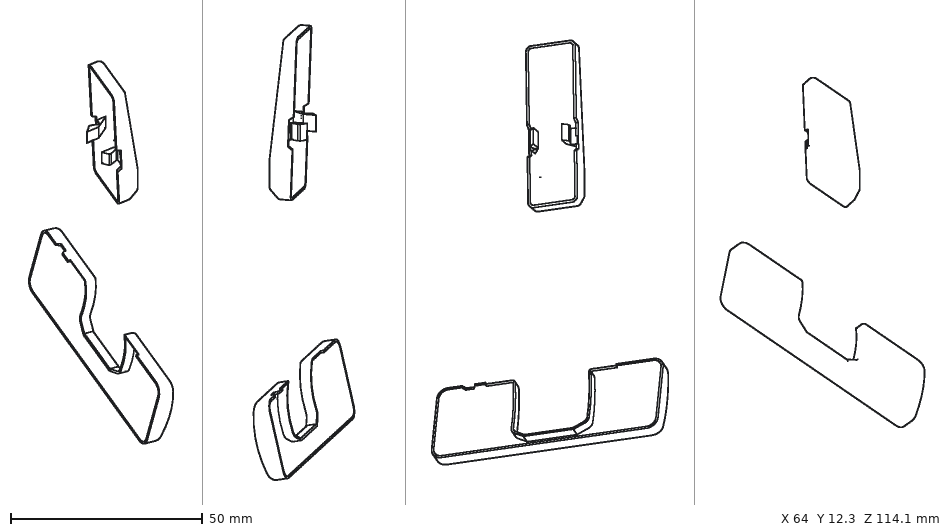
import cadquery as cq
import math

PLATE_WIDTH = 64.0
PLATE_HEIGHT = 21.75
PLATE_WALL = 0.6
PLATE_CORNER_RADIUS = 3.0
PLATE_BACK_FILLET = 1.5
PLATE_INNER_FILLET = 1.0
PLATE_TILT = 13.0
RIM_FOOT_Z = 0.74
BACK_DEPTH = 6.0
BACK_RADIUS = 33.0
BACK_CROWN_Z = 10.7

OPENING_HALF_WIDTH = 10.4
OPENING_FLOOR_HALF_WIDTH = 6.9
OPENING_FLOOR_Z = 5.1
OPENING_BEVEL_ANGLE = 30.0
OPENING_CORNER_RADIUS = 1.5
OPENING_BACK_FILLET = 0.8
OPENING_LIP_HEIGHT = 3.2
LIP_REACH_X = 18.5

SLOT_CENTRE_X = -23.3
SLOT_RIM_WIDTH = 3.6
SLOT_FLOOR_WIDTH = 2.4
SLOT_DEPTH = 1.3

LEVER_WIDTH = 14.0
LEVER_WALL = 0.7
LEVER_CHAMFER = 1.0
LEVER_FILLET = 1.2
LEVER_TOP_Z = 114.06
LEVER_BOTTOM_Z = 69.4
RIM_TOP_Y = 4.55
RIM_BOTTOM_Y = 6.2
LEVER_TOP_BACK_Y = 8.38
LEVER_BACK_Y = 12.34
LEVER_KNEE_Z = 79.9
LEVER_HEEL_Z = 72.2
LEVER_HEEL_Y = 9.75

NOTCH_CENTRE_Z = 88.0
NOTCH_MOUTH_HEIGHT = 9.0
NOTCH_FLOOR_HEIGHT = 7.2
NOTCH_DEPTH = 1.25

HOOK_HEIGHT = 4.5
HOOK_TIP_X = 4.0
HOOK_TIP_Y = 2.5
HOOK_BARB_X = 5.5
HOOK_LEAD_Y = 3.9
HOOK_BARB_Y = 4.6
HOOK_NECK_X = 4.9
HOOK_NECK_Y = 6.4
HOOK_ARM_Y = 6.0
HOOK_ROOT_Y = 10.0


def back_cylinder(inset, half_width):
    """Cylinder concentric with the plate's curved back and smaller in radius by inset."""
    return (
        cq.Workplane("YZ")
        .center(BACK_DEPTH - BACK_RADIUS, BACK_CROWN_Z)
        .circle(BACK_RADIUS - inset)
        .extrude(half_width, both=True)
    )


def rounded_back_block(inset, back_fillet):
    """Plate block with rounded corners and an arched back, every face moved in by inset."""
    half_width = PLATE_WIDTH / 2 - inset
    height = PLATE_HEIGHT - 2 * inset
    block = (
        cq.Workplane("XZ")
        .center(0, PLATE_HEIGHT / 2)
        .rect(2 * half_width, height)
        .extrude(-2 * BACK_DEPTH)
        .edges("|Y")
        .fillet(PLATE_CORNER_RADIUS - inset)
    )
    block = block.intersect(back_cylinder(inset, half_width))
    return block.faces(">Y").edges().fillet(back_fillet)


def opening_block(growth):
    """Prism filling the U-shaped opening, its sides and floor moved out by growth."""
    slope = math.radians(OPENING_BEVEL_ANGLE)
    side_x = OPENING_HALF_WIDTH + growth
    floor_x = OPENING_FLOOR_HALF_WIDTH + growth * math.tan(slope / 2)
    floor_z = OPENING_FLOOR_Z - growth
    bevel_z = floor_z + (side_x - floor_x) * math.tan(slope)
    top_z = PLATE_HEIGHT + PLATE_WALL
    block = (
        cq.Workplane("XZ")
        .polyline([
            (-side_x, top_z),
            (-side_x, bevel_z),
            (-floor_x, floor_z),
            (floor_x, floor_z),
            (side_x, bevel_z),
            (side_x, top_z),
        ])
        .close()
        .extrude(-2 * BACK_DEPTH)
    )
    lower_corners = cq.selectors.BoxSelector(
        (-2 * side_x, -BACK_DEPTH, bevel_z - PLATE_WALL / 2),
        (2 * side_x, 3 * BACK_DEPTH, bevel_z + PLATE_WALL / 2),
    )
    return block.edges("|Y").edges(lower_corners).fillet(OPENING_CORNER_RADIUS + growth)


def lip_trim():
    """Space in front of the opening's lip, from just below the opening up past the top wall."""
    bottom_z = OPENING_FLOOR_Z - 2 * PLATE_WALL
    region = cq.Workplane("XY", origin=(0, 0, bottom_z)).box(
        2 * LIP_REACH_X, 2 * BACK_DEPTH, PLATE_HEIGHT, centered=(True, True, False)
    )
    return region.intersect(back_cylinder(OPENING_LIP_HEIGHT, LIP_REACH_X))


def rim_slot():
    """Tapered slot through the top wall, open at the rim."""
    return (
        cq.Workplane("XY", origin=(SLOT_CENTRE_X, 0, PLATE_HEIGHT - PLATE_WALL))
        .polyline([
            (-SLOT_RIM_WIDTH / 2, 0),
            (SLOT_RIM_WIDTH / 2, 0),
            (SLOT_FLOOR_WIDTH / 2, SLOT_DEPTH),
            (-SLOT_FLOOR_WIDTH / 2, SLOT_DEPTH),
        ])
        .close()
        .extrude(PLATE_WALL)
    )


def make_cover_plate():
    outside = rounded_back_block(0, PLATE_BACK_FILLET).cut(opening_block(0))
    opening_back_edges = cq.selectors.BoxSelector(
        (-OPENING_HALF_WIDTH - PLATE_WALL, BACK_DEPTH / 2, 0),
        (OPENING_HALF_WIDTH + PLATE_WALL, 2 * BACK_DEPTH, PLATE_HEIGHT - 2 * PLATE_BACK_FILLET),
    )
    outside = outside.edges(opening_back_edges).edges("not |Y").fillet(OPENING_BACK_FILLET)
    inside = rounded_back_block(PLATE_WALL, PLATE_INNER_FILLET).cut(opening_block(PLATE_WALL))
    plate = outside.cut(inside).cut(lip_trim()).cut(rim_slot())
    return plate.rotate((0, 0, 0), (1, 0, 0), -PLATE_TILT).translate((0, 0, RIM_FOOT_Z))


def lever_shell():
    """Hollow lever, open towards -Y, with the edges of its back and ends rounded."""
    block = (
        cq.Workplane("YZ")
        .polyline([
            (RIM_TOP_Y, LEVER_TOP_Z),
            (RIM_BOTTOM_Y, LEVER_BOTTOM_Z),
            (LEVER_HEEL_Y, LEVER_BOTTOM_Z),
            (LEVER_BACK_Y, LEVER_HEEL_Z),
            (LEVER_BACK_Y, LEVER_KNEE_Z),
            (LEVER_TOP_BACK_Y, LEVER_TOP_Z),
        ])
        .close()
        .extrude(LEVER_WIDTH / 2, both=True)
    )
    side_edges = block.faces("<X or >X").edges("not <Y")
    top_back_edge = block.edges("|X").edges(">Z").edges(">Y")
    chamfered = side_edges.add(top_back_edge).chamfer(LEVER_CHAMFER)
    rim_edges = chamfered.faces("<Y").edges().vals()
    closed_edges = [
        edge for edge in chamfered.edges().vals()
        if not any(edge.isSame(rim_edge) for rim_edge in rim_edges)
    ]
    softened = chamfered.newObject(closed_edges).fillet(LEVER_FILLET)
    return softened.faces("<Y").shell(-LEVER_WALL)


def rim_y(z):
    """Y of the lever's sloping rim at height z."""
    fraction = (z - LEVER_BOTTOM_Z) / (LEVER_TOP_Z - LEVER_BOTTOM_Z)
    return RIM_BOTTOM_Y + fraction * (RIM_TOP_Y - RIM_BOTTOM_Y)


def lever_notches():
    """Flared notch cut into the rim of both side walls."""
    half_mouth = NOTCH_MOUTH_HEIGHT / 2
    half_floor = NOTCH_FLOOR_HEIGHT / 2
    return (
        cq.Workplane("YZ")
        .polyline([
            (0, NOTCH_CENTRE_Z + half_mouth),
            (rim_y(NOTCH_CENTRE_Z + half_mouth), NOTCH_CENTRE_Z + half_mouth),
            (rim_y(NOTCH_CENTRE_Z + half_floor) + NOTCH_DEPTH, NOTCH_CENTRE_Z + half_floor),
            (rim_y(NOTCH_CENTRE_Z - half_floor) + NOTCH_DEPTH, NOTCH_CENTRE_Z - half_floor),
            (rim_y(NOTCH_CENTRE_Z - half_mouth), NOTCH_CENTRE_Z - half_mouth),
            (0, NOTCH_CENTRE_Z - half_mouth),
        ])
        .close()
        .extrude(LEVER_WIDTH, both=True)
    )


def snap_hook(side):
    """Barbed arm bracketed off the inside of a side wall; side is -1 or +1."""
    wall_x = LEVER_WIDTH / 2 - LEVER_WALL / 2
    notch_floor_y = rim_y(NOTCH_CENTRE_Z) + NOTCH_DEPTH
    outline = [
        (HOOK_TIP_X, HOOK_TIP_Y),
        (HOOK_BARB_X, HOOK_LEAD_Y),
        (HOOK_BARB_X, HOOK_BARB_Y),
        (HOOK_NECK_X, HOOK_NECK_Y),
        (HOOK_NECK_X, notch_floor_y),
        (wall_x, notch_floor_y),
        (wall_x, HOOK_ROOT_Y),
        (HOOK_TIP_X, HOOK_ARM_Y),
    ]
    return (
        cq.Workplane("XY", origin=(0, 0, NOTCH_CENTRE_Z - HOOK_HEIGHT / 2))
        .polyline([(side * x, y) for x, y in outline])
        .close()
        .extrude(HOOK_HEIGHT)
    )


def make_lever():
    lever = lever_shell().cut(lever_notches())
    for side in (-1, 1):
        lever = lever.union(snap_hook(side))
    return lever


cover_plate = make_cover_plate()
lever = make_lever()

result = cq.Compound.makeCompound([cover_plate.solids().val(), lever.solids().val()])